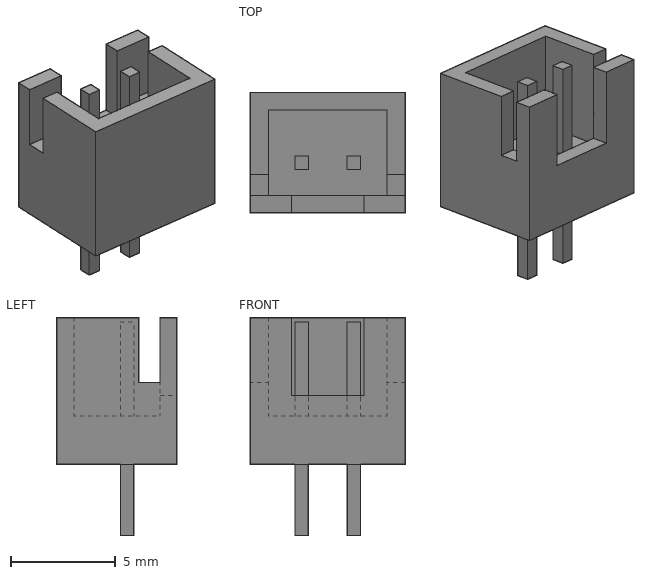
import cadquery as cq

width = 7.4
depth = 5.75
total_height = 10.4
housing_height = 7.0
tail_length = total_height - housing_height

cavity_width = 5.67
back_wall = 0.83
front_wall = 0.82
cavity_depth = depth - back_wall - front_wall
floor_thickness = 2.31

window_width = 3.47
window_drop = 3.72
slot_width = 1.0
slot_drop = 3.09

pin_size = 0.65
pin_pitch = 2.5
pin_drop = 0.22
pin_y = 2.38
pin_centers = [-pin_pitch / 2, pin_pitch / 2]


def block(size_x, y_start, size_y, z_start, z_end):
    """Box centred on X, given by its front face, depth and two levels."""
    return (
        cq.Workplane("XY", origin=(0, y_start + size_y / 2, z_start))
        .box(size_x, size_y, z_end - z_start, centered=(True, True, False))
    )


def make_housing():
    """Open-topped shroud with a solid floor, a front window and a slot in each side wall."""
    body = block(width, 0, depth, 0, housing_height)
    cavity = block(cavity_width, front_wall, cavity_depth, floor_thickness, housing_height)
    window = block(window_width, 0, front_wall, housing_height - window_drop, housing_height)
    side_slots = block(width, front_wall, slot_width, housing_height - slot_drop, housing_height)
    return body.cut(cavity).cut(window).cut(side_slots)


def make_pin(x_center, z_start, z_end):
    """Straight square contact length between two levels."""
    pin = block(pin_size, pin_y - pin_size / 2, pin_size, z_start, z_end)
    return pin.translate((x_center, 0, 0))


housing = make_housing()

posts = []
for x_center in pin_centers:
    posts.append(make_pin(x_center, floor_thickness, housing_height - pin_drop))

tails = []
for x_center in pin_centers:
    tails.append(make_pin(x_center, -tail_length, 0))

result = cq.Compound.makeCompound(
    [
        housing.val(),
        *[post.val() for post in posts],
        *[tail.val() for tail in tails],
    ]
)